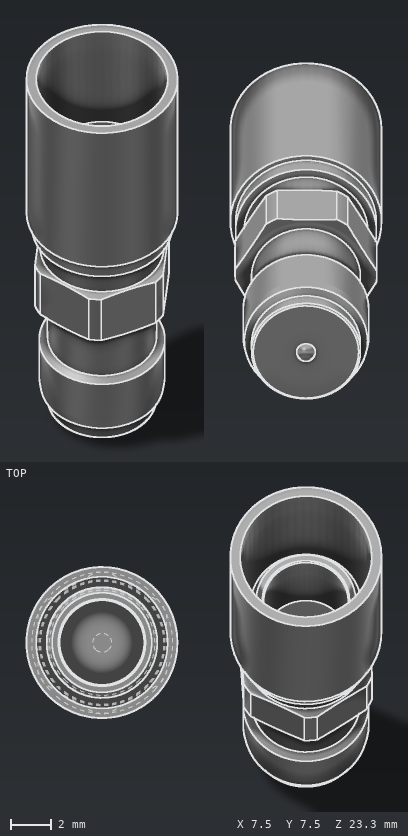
import cadquery as cq

total_height = 23.32
sleeve_bottom = 13.8
collar_bottom = 12.85
hex_top = 11.33
hex_bottom = 8.2
coupling_top = 4.97
coupling_taper_top = 2.12
coupling_taper_bottom = 1.59
spigot_top = 1.33
spigot_bottom = 0.47

sleeve_radius = 3.75
collar_radius = 3.5
neck_radius = 3.08
barrel_radius = 2.7
coupling_radius = 3.12
coupling_tip_radius = 3.05
coupling_shoulder_height = 0.19
spigot_chamfer = 0.1

hex_across_flats = 6.4
hex_corner_radius = 3.52
hex_chamfer_width = hex_corner_radius - neck_radius
hex_chamfer_height = 0.12

bore_radius = 3.26
stub_top = 17.72
stub_radius = 2.75
stub_tip_radius = 2.47
stub_taper_height = 0.55
stub_bore_radius = 2.1
stub_bore_chamfer = 0.07


def cylinder(radius, bottom, top):
    """Solid cylinder on the Z axis between two heights."""
    return cq.Workplane("XY").workplane(offset=bottom).circle(radius).extrude(top - bottom)


def make_body():
    """Stepped shaft from the spigot up to the open end of the sleeve."""
    profile = [
        (0, spigot_bottom),
        (barrel_radius - spigot_chamfer, spigot_bottom),
        (barrel_radius, spigot_bottom + spigot_chamfer),
        (barrel_radius, spigot_top),
        (coupling_tip_radius, coupling_taper_bottom),
        (coupling_radius, coupling_taper_top),
        (coupling_radius, coupling_top - coupling_shoulder_height),
        (barrel_radius, coupling_top),
        (barrel_radius, hex_bottom),
        (neck_radius, hex_bottom),
        (neck_radius, collar_bottom),
        (collar_radius, collar_bottom),
        (collar_radius, sleeve_bottom),
        (sleeve_radius, sleeve_bottom),
        (sleeve_radius, total_height),
        (0, total_height),
    ]
    return cq.Workplane("XZ").polyline(profile).close().revolve(360, (0, 0), (0, 1))


def make_hex():
    """Hexagon with flats facing X, its corners turned round and chamfered."""
    prism = (
        cq.Workplane("XY")
        .workplane(offset=hex_bottom)
        .polygon(6, hex_across_flats, circumscribed=True)
        .extrude(hex_top - hex_bottom)
    )
    blank = (
        cylinder(hex_corner_radius, hex_bottom, hex_top)
        .faces("<Z or >Z")
        .chamfer(hex_chamfer_height, hex_chamfer_width)
    )
    return prism.intersect(blank)


def make_stub():
    """Cable stub with a tapered tip."""
    return (
        cylinder(stub_radius, sleeve_bottom, stub_top)
        .faces(">Z")
        .chamfer(stub_taper_height, stub_radius - stub_tip_radius)
    )


def make_stub_bore():
    """Blind bore down the stub, with a chamfered mouth."""
    mouth = (
        cq.Workplane("XY")
        .workplane(offset=stub_top)
        .circle(stub_bore_radius + stub_bore_chamfer)
        .extrude(-stub_bore_chamfer, taper=45)
    )
    return cylinder(stub_bore_radius, collar_bottom, stub_top).union(mouth)


def make_contact():
    """Ball-ended centre contact showing below the spigot."""
    return cq.Workplane("XY").sphere(spigot_bottom).translate((0, 0, spigot_bottom))


result = (
    make_body()
    .union(make_hex())
    .cut(cylinder(bore_radius, sleeve_bottom, total_height))
    .union(make_stub())
    .cut(make_stub_bore())
    .union(make_contact())
)